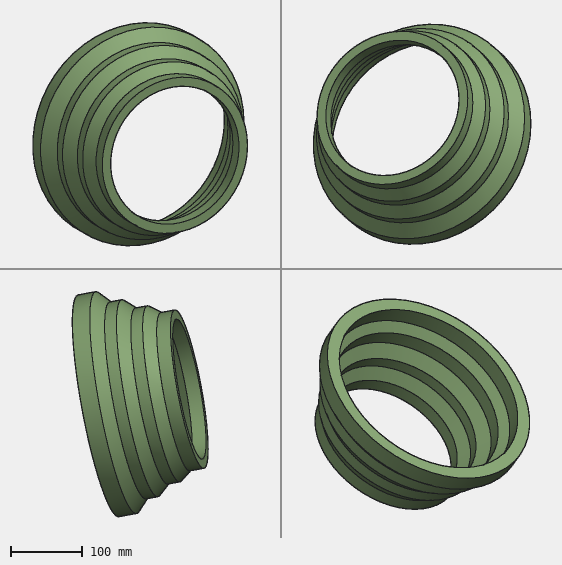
import cadquery as cq

length = 130.0
rim_length = 25.2
step_length = 17.0
first_bore_cone_length = 12.0

outer_radii = [157.5, 140.0, 125.0, 112.5]
bore_radii = [139.0, 126.5, 111.5, 99.2]


def stepped_profile(radii, first_cone_length=step_length):
    """Points (x, radius) of cylinders joined by cones, from the wide end to the narrow end."""
    points = [(0, radii[0])]
    cone_length = first_cone_length
    x = rim_length
    for wide, narrow in zip(radii, radii[1:]):
        points.append((x, wide))
        points.append((x + cone_length, narrow))
        x += 2 * step_length
        cone_length = step_length
    points.append((length, radii[-1]))
    return points


outside = stepped_profile(outer_radii)
bore = stepped_profile(bore_radii, first_bore_cone_length)

result = (
    cq.Workplane("XY")
    .polyline(outside + bore[::-1])
    .close()
    .revolve(360, (0, 0, 0), (1, 0, 0))
)